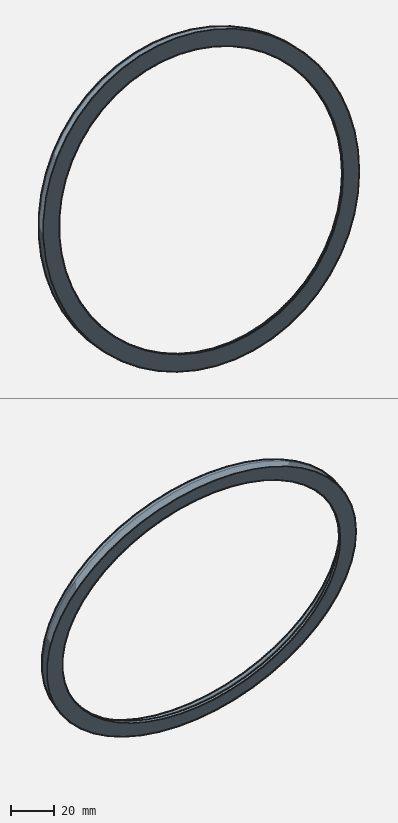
import cadquery as cq

outer_diameter = 167.0
bead_inner_diameter = 155.0
lip_bore_diameter = 150.0
ring_width = 7.0
lip_thickness = 1.5

outer_radius = outer_diameter / 2
bead_inner_radius = bead_inner_diameter / 2
lip_bore_radius = lip_bore_diameter / 2

nose_radius = (outer_radius - bead_inner_radius) / 2
nose_center_radius = bead_inner_radius + nose_radius

nose_x = -ring_width / 2
back_x = ring_width / 2
nose_end_x = nose_x + nose_radius
lip_front_x = back_x - lip_thickness


def ring_section():
    """Half section in the XY plane: round-nosed wall with an inward lip at the back."""
    return (
        cq.Workplane("XY")
        .moveTo(nose_end_x, bead_inner_radius)
        .threePointArc((nose_x, nose_center_radius), (nose_end_x, outer_radius))
        .lineTo(back_x, outer_radius)
        .lineTo(back_x, lip_bore_radius)
        .lineTo(lip_front_x, lip_bore_radius)
        .lineTo(lip_front_x, bead_inner_radius)
        .close()
    )


result = ring_section().revolve(360, (0, 0, 0), (1, 0, 0))